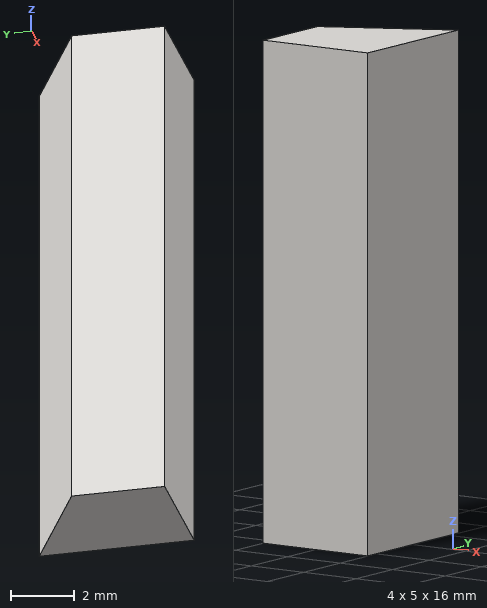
import cadquery as cq

height = 16.0
width = 4.0
long_side = 5.0
slope_rise = width / 2
short_side = long_side - slope_rise

profile = [
    (0, 0),
    (width, 0),
    (width, long_side),
    (0, short_side),
]
result = cq.Workplane("XY").polyline(profile).close().extrude(height)